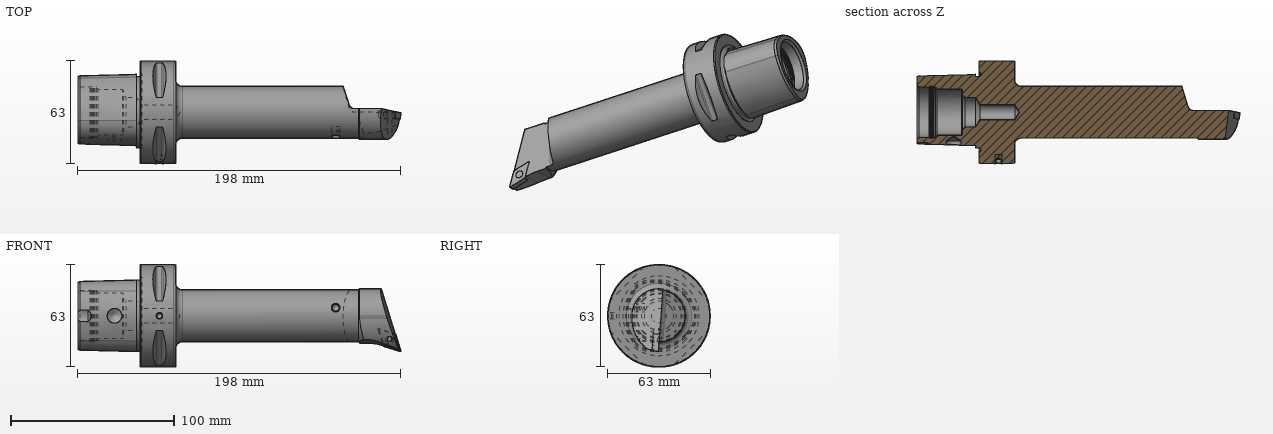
import cadquery as cq
import math



def tan_deg(angle):
    return math.tan(math.radians(angle))


def polar(radius, angle):
    return (radius * math.cos(math.radians(angle)), radius * math.sin(math.radians(angle)))


def turned(points):
    """Solid of revolution about X from a closed list of (x, radius) points."""
    return cq.Workplane("XY").polyline(points).close().revolve(360, (0, 0, 0), (1, 0, 0))


def slanted_prism(outline, vector):
    """Prism of a closed outline along any vector, not only along its normal."""
    return cq.Workplane(cq.Solid.extrudeLinear(outline.val(), [], cq.Vector(*vector)))


shank_length = 38.0
mean_radius = 22.0
lobe_height = 1.4
lobe_centre = 10.3
taper_slope = 1 / 40
shank_lead_length = 1.4
shank_lead_depth = 0.6
neck_radius = 22.0
neck_length = 2.0

bore_mouth_radius = 16.6
bore_radius = 15.4
bore_mouth_depth = 1.5
groove_start = 7.6
groove_count = 3
groove_pitch = 1.0
groove_height = 0.5
bore_depth = 11.5
inner_bore_radius = 14.0
inner_bore_start = 12.5
inner_bore_depth = 28.0
inner_bore_chamfer = 0.5
core_mouth_radius = 10.6
core_radius = 9.0
core_mouth_depth = inner_bore_depth + core_mouth_radius - core_radius
core_depth = 36.0
coolant_radius = 4.5
coolant_depth = 60.0
drill_point_angle = 118.0
drill_slope = 1 / tan_deg(drill_point_angle / 2)

side_hole_radius = 4.5
side_hole_x = 22.5 - shank_length
side_hole_floor = -17.5

key_radius = 7.3
key_floor = -18.6
key_length = 6.2
key_cone_angle = 60.0

flange_radius = 31.5
flange_length = 22.0
flange_front_chamfer = (0.7, 0.5)
flange_back_chamfer = (1.3, 0.3)
face_groove_radius = 24.5
face_groove_depth = 1.2
grip_x = 12.0
grip_floor_distance = 27.7
grip_floor_width = 3.8
grip_floor_fillet = 0.9
grip_wall_angle = 30.0

bar_radius = 16.0
bar_fillet = 4.0
bar_end = 133.9
head_lap = 3.0

reach = 160.0
offset = 22.0
head_radius = 16.6
head_straight = 1.3
head_lower_radius = 24.0
head_bottom = -16.9
head_toe_radius = 26.0
lead_angle = 17.5
end_relief = 10.0
toe_relief = 11.0

rake_tilt = 4.0
rake_at_tip = -0.3
runout_x = 124.8
runout_angle = 17.0
runout_fillet = 3.2

insert_circle = 9.525
insert_angle = 55.0
insert_bisector = lead_angle + insert_angle / 2
insert_thickness = 3.97
insert_nose = 0.4
insert_relief = 7.0
insert_overhang = 0.3
screw_radius = 1.4
screw_head_radius = 2.4
screw_head_height = 1.2
screw_length = 12.0

bar_screw_x = 119.9
bar_screw_z = 5.0
bar_screw_radius = 2.6
flange_screw_radius = 2.0
bar_screw_rim = -13.8
flange_screw_rim = -31.0
set_screw_length = 5.0
socket_radius_ratio = 0.8
socket_depth = 2.0


def polygon_wire(x, inset):
    """Three-lobed outline of tangent arcs in the plane at x, one lobe toward +Y."""
    lobe_tip = mean_radius + lobe_height - inset
    flank = mean_radius - lobe_height - inset
    rise = 2 * lobe_height
    flank_centre = (2 * rise * lobe_centre - rise ** 2) / (lobe_centre - 2 * rise)
    lobe_radius = lobe_tip - lobe_centre
    across = lobe_centre + flank_centre / 2
    along = flank_centre * math.sin(math.radians(60))
    spread = math.hypot(across, along)
    tangent_y = lobe_centre + lobe_radius * across / spread
    tangent_z = lobe_radius * along / spread
    tangent_radius = math.hypot(tangent_y, tangent_z)
    half_lobe = math.degrees(math.atan2(tangent_z, tangent_y))

    outline = cq.Workplane("YZ", origin=(x, 0, 0)).moveTo(*polar(tangent_radius, -half_lobe))
    for lobe in (0, 120, 240):
        outline = outline.threePointArc(polar(lobe_tip, lobe), polar(tangent_radius, lobe + half_lobe))
        next_start = polar(tangent_radius, lobe + 120 - half_lobe)
        outline = outline.threePointArc(polar(flank, lobe + 60), next_start)
    return outline.wire().val()


def make_shank():
    front = -shank_length
    lead_end = front + shank_lead_length
    base = -neck_length
    base_inset = -base * taper_slope
    lead_inset = -lead_end * taper_slope
    taper = cq.Solid.makeLoft([polygon_wire(lead_end, lead_inset), polygon_wire(base, base_inset)], True)
    lead = cq.Solid.makeLoft(
        [polygon_wire(front, lead_inset + shank_lead_depth), polygon_wire(lead_end, lead_inset)], True
    )
    return cq.Workplane(taper).union(cq.Workplane(lead))


def make_shank_bore():
    """Stepped bore with a band of V grooves, ending in the drilled coolant hole."""
    steps = [(0, 0), (0, bore_mouth_radius), (bore_mouth_depth, bore_radius)]
    for groove in range(groove_count):
        start = groove_start + groove * groove_pitch
        steps.append((start, bore_radius))
        steps.append((start + groove_pitch / 2, bore_radius + groove_height))
    steps += [
        (groove_start + groove_count * groove_pitch, bore_radius),
        (bore_depth, bore_radius),
        (inner_bore_start, inner_bore_radius),
        (inner_bore_depth - inner_bore_chamfer, inner_bore_radius),
        (inner_bore_depth, inner_bore_radius - inner_bore_chamfer),
        (inner_bore_depth, core_mouth_radius),
        (core_mouth_depth, core_radius),
        (core_depth, core_radius),
        (core_depth + (core_radius - coolant_radius) * drill_slope, coolant_radius),
        (coolant_depth, coolant_radius),
        (coolant_depth + coolant_radius * drill_slope, 0),
    ]
    return turned([(depth - shank_length, radius) for depth, radius in steps])


def make_key_recess():
    """Round-floored recess drilled along X into the -Y flank of the shank end."""
    tip = key_length + key_radius * tan_deg(key_cone_angle)
    drill = turned([(0, 0), (0, key_radius), (key_length, key_radius), (tip, 0)])
    return drill.translate((-shank_length, key_floor - key_radius, 0))


def make_side_hole():
    """Blind hole with a drill point, entering the shank from -Y."""
    tip = side_hole_floor + side_hole_radius * drill_slope
    profile = [
        (0, -mean_radius),
        (side_hole_radius, -mean_radius),
        (side_hole_radius, side_hole_floor),
        (0, tip),
    ]
    hole = cq.Workplane("XY").polyline(profile).close().revolve(360, (0, 0, 0), (0, 1, 0))
    return hole.translate((side_hole_x, 0, 0))


def make_flange_and_bar():
    front_length, front_drop = flange_front_chamfer
    back_length, back_drop = flange_back_chamfer
    corner = bar_fillet * math.sin(math.radians(45))
    fillet_mid = (flange_length + bar_fillet - corner, bar_radius + bar_fillet - corner)
    profile = (
        cq.Workplane("XY")
        .moveTo(-neck_length, 0)
        .lineTo(-neck_length, neck_radius)
        .lineTo(0, neck_radius)
        .threePointArc((face_groove_depth, (neck_radius + face_groove_radius) / 2), (0, face_groove_radius))
        .lineTo(0, flange_radius - front_drop)
        .lineTo(front_length, flange_radius)
        .lineTo(flange_length - back_length, flange_radius)
        .lineTo(flange_length, flange_radius - back_drop)
        .lineTo(flange_length, bar_radius + bar_fillet)
        .threePointArc(fillet_mid, (flange_length + bar_fillet, bar_radius))
        .lineTo(bar_end, bar_radius)
        .lineTo(bar_end, 0)
        .close()
    )
    return profile.revolve(360, (0, 0, 0), (1, 0, 0))


def make_grip_slots():
    """Four trapezoidal slots across the flange rim, on the diagonals."""
    depth = flange_radius - grip_floor_distance
    half_floor = grip_floor_width / 2
    half_top = half_floor + depth * tan_deg(grip_wall_angle)
    section = [
        (grip_x - half_floor, grip_floor_distance),
        (grip_x + half_floor, grip_floor_distance),
        (grip_x + half_top, flange_radius),
        (grip_x - half_top, flange_radius),
    ]
    slot = cq.Workplane("XZ").polyline(section).close().extrude(flange_radius, both=True)
    slot = slot.faces("<Z").edges("|Y").fillet(grip_floor_fillet)
    slots = cq.Workplane("XY")
    for angle in (45, 135, 225, 315):
        slots = slots.add(slot.rotate((0, 0, 0), (1, 0, 0), angle))
    return slots.combine()


def make_head_section():
    """Head cross-section drawn out along X: a round back and a wider round toward -Z."""
    open_side = head_lower_radius - head_radius
    shoulder = polar(head_radius, 135)
    lower_mid_y, lower_mid_z = polar(head_lower_radius, 225)
    return (
        cq.Workplane("YZ", origin=(bar_end, 0, 0))
        .moveTo(open_side, math.sqrt(head_radius ** 2 - open_side ** 2))
        .threePointArc(shoulder, (-head_radius, 0))
        .lineTo(-head_radius, -head_straight)
        .threePointArc(
            (open_side + lower_mid_y, lower_mid_z - head_straight),
            (open_side, -head_straight - head_lower_radius),
        )
        .close()
        .extrude(reach - bar_end)
    )


def make_head_envelope():
    """Side outline of the head, slanted along Y to give the end and the toe their relief."""
    nose_setback = (insert_overhang - insert_nose) / math.sin(math.radians(insert_angle / 2))
    setback_x, setback_z = polar(nose_setback, insert_bisector)
    corner_x = reach - insert_nose - setback_x
    corner_z = -offset + insert_nose + setback_z
    top = offset
    root = bar_end - head_lap
    bend_x = corner_x - (head_bottom - corner_z) / tan_deg(lead_angle)
    bend_length = head_toe_radius * tan_deg(lead_angle / 2)
    bend_run, bend_drop = polar(bend_length, lead_angle)
    outline = (
        cq.Workplane("XZ")
        .moveTo(root, head_bottom)
        .lineTo(bend_x - bend_length, head_bottom)
        .tangentArcPoint((bend_x + bend_run, head_bottom - bend_drop), relative=False)
        .lineTo(corner_x, corner_z)
        .lineTo(corner_x - (top - corner_z) * tan_deg(lead_angle), top)
        .lineTo(root, top)
        .close()
    )
    front = head_lower_radius - head_radius
    slant = cq.Vector(-tan_deg(end_relief), -1, tan_deg(toe_relief))
    placed = outline.wire().translate(slant * -front)
    return slanted_prism(placed, (slant * (front + head_lower_radius)).toTuple())


def make_head():
    """The head starts at the bar with a 45 degree flare."""
    flare_length = reach - bar_end
    flare = turned(
        [(bar_end, 0), (bar_end, bar_radius), (reach, bar_radius + flare_length), (reach, 0)]
    )
    return make_head_section().intersect(make_head_envelope()).intersect(flare)


def make_rake_cut():
    """Waste on the +Y side: a sloped run-out with a filleted root, then the tilted rake face."""
    bottom = -2 * offset
    height = 4 * offset
    floor = rake_at_tip + (bottom + offset) * tan_deg(rake_tilt)
    wall_top = 2 * bar_radius
    floor_at_rim = rake_at_tip + (bar_radius + offset) * tan_deg(rake_tilt)
    root_x = runout_x + (bar_radius - floor_at_rim) * tan_deg(runout_angle)
    wall_height = wall_top - floor
    bend = runout_fillet * tan_deg((90 - runout_angle) / 2)
    wall_run, wall_rise = polar(bend, 90 + runout_angle)
    outline = (
        cq.Workplane("XY", origin=(0, 0, bottom))
        .moveTo(2 * reach, floor)
        .lineTo(root_x + bend, floor)
        .tangentArcPoint((root_x + wall_run, floor + wall_rise), relative=False)
        .lineTo(root_x - wall_height * tan_deg(runout_angle), wall_top)
        .lineTo(2 * reach, wall_top)
        .close()
    )
    return slanted_prism(outline.wire(), (0, height * tan_deg(rake_tilt), height))


insert_reach = (insert_circle / 2 - insert_nose) / math.sin(math.radians(insert_angle / 2))
reach_x, reach_z = polar(insert_reach, insert_bisector)
insert_x = reach - insert_nose - reach_x
insert_z = -offset + insert_nose + reach_z


def onto_rake(solid):
    tip_start = (0, rake_at_tip, -offset)
    tip_end = (1, rake_at_tip, -offset)
    return solid.translate((0, rake_at_tip, 0)).rotate(tip_start, tip_end, -rake_tilt)


def make_screw_blank(length):
    """Countersunk screw along -Y from the insert face."""
    profile = [
        (0, 0),
        (screw_head_radius, 0),
        (screw_radius, -screw_head_height),
        (screw_radius, -length),
        (0, -length),
    ]
    blank = cq.Workplane("XY").polyline(profile).close().revolve(360, (0, 0, 0), (0, 1, 0))
    return onto_rake(blank.translate((insert_x, 0, insert_z)))


def make_insert_blank():
    """Rhombic insert with round corners and relieved flanks, nose toward +X and -Z."""
    half_width = insert_reach * tan_deg(insert_angle / 2)
    blank = (
        cq.Workplane("XZ")
        .polyline([(insert_reach, 0), (0, half_width), (-insert_reach, 0), (0, -half_width)])
        .close()
        .offset2D(insert_nose)
        .extrude(insert_thickness, taper=insert_relief)
        .rotate((0, 0, 0), (0, 1, 0), insert_bisector)
    )
    return onto_rake(blank.translate((insert_x, 0, insert_z)))


def make_set_screw(radius, x, z, rim):
    """Set screw along +Y, its outer end at rim, with a socket that ends in a drill point."""
    socket_radius = socket_radius_ratio * radius
    profile = [
        (socket_radius, 0),
        (radius, 0),
        (radius, set_screw_length),
        (0, set_screw_length),
        (0, socket_depth + socket_radius * drill_slope),
        (socket_radius, socket_depth),
    ]
    screw = cq.Workplane("XY").polyline(profile).close().revolve(360, (0, 0, 0), (0, 1, 0))
    return screw.translate((x, rim, z))


def make_set_screw_hole(radius, x, z, rim):
    """Open hole from outside the bar down to the inner end of a set screw."""
    outside = 2 * radius
    hole = cq.Workplane("XZ", origin=(x, rim + set_screw_length, z)).circle(radius)
    return hole.extrude(set_screw_length + outside)


bar_screw_place = (bar_screw_radius, bar_screw_x, bar_screw_z, bar_screw_rim)
flange_screw_place = (flange_screw_radius, grip_x, 0, flange_screw_rim)

body = make_flange_and_bar().union(make_head()).cut(make_rake_cut()).union(make_shank())
body = body.cut(make_shank_bore()).cut(make_key_recess()).cut(make_side_hole()).cut(make_grip_slots())
body = body.cut(make_insert_blank()).cut(make_screw_blank(2 * screw_length))
set_screws = []
for place in (bar_screw_place, flange_screw_place):
    body = body.cut(make_set_screw_hole(*place))
    set_screws.append(make_set_screw(*place))

insert_screw = make_screw_blank(screw_length)
insert = make_insert_blank().cut(insert_screw)

result = cq.Compound.makeCompound(
    [body.val(), insert.val(), insert_screw.val(), *[screw.val() for screw in set_screws]]
)